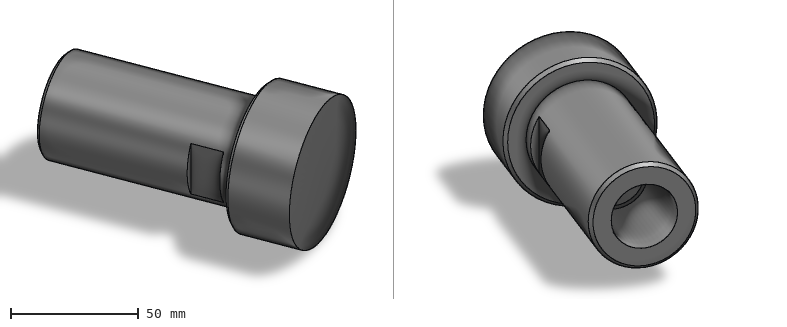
import cadquery as cq
import math

total_length = 114.8
shaft_length = 85.0
shaft_radius = 22.5
head_diameter = 63.0
head_radius = head_diameter / 2
edge_chamfer = 1.5
dome_height = 1.8

bore_radius = 13.5
bore_depth = 40.0
pilot_radius = 12.0
pilot_depth = 50.0
drill_point_angle = 120.0

flat_start = 65.0
flat_width = 14.0
across_flats = 38.0


def make_body():
    """Revolve the chamfered shaft and the domed head about X."""
    dome_start = total_length - dome_height
    dome_radius = (head_radius**2 + dome_height**2) / (2 * dome_height)
    mid_radius = head_radius / 2
    mid_x = total_length - dome_radius + math.sqrt(dome_radius**2 - mid_radius**2)
    profile = (
        cq.Workplane("XY")
        .lineTo(0, shaft_radius - edge_chamfer)
        .lineTo(edge_chamfer, shaft_radius)
        .lineTo(shaft_length, shaft_radius)
        .lineTo(shaft_length, head_radius - edge_chamfer)
        .lineTo(shaft_length + edge_chamfer, head_radius)
        .lineTo(dome_start, head_radius)
        .threePointArc((mid_x, mid_radius), (total_length, 0))
        .close()
    )
    return profile.revolve(360, (0, 0, 0), (1, 0, 0))


def make_bore():
    """Revolve the stepped bore, ending in a conical point."""
    point_depth = pilot_radius / math.tan(math.radians(drill_point_angle / 2))
    profile = (
        cq.Workplane("XY")
        .lineTo(0, bore_radius)
        .lineTo(bore_depth, bore_radius)
        .lineTo(bore_depth, pilot_radius)
        .lineTo(pilot_depth, pilot_radius)
        .lineTo(pilot_depth + point_depth, 0)
        .close()
    )
    return profile.revolve(360, (0, 0, 0), (1, 0, 0))


def make_flat_cutter(side):
    """Block that cuts one wrench flat on the +Y (side = 1) or -Y (side = -1) flank."""
    cut_depth = shaft_radius - across_flats / 2
    center_x = flat_start + flat_width / 2
    center_y = side * (across_flats + cut_depth) / 2
    block = cq.Workplane("XY").box(flat_width, cut_depth, 2 * shaft_radius)
    return block.translate((center_x, center_y, 0))


result = make_body().cut(make_bore())
for side in (-1, 1):
    result = result.cut(make_flat_cutter(side))